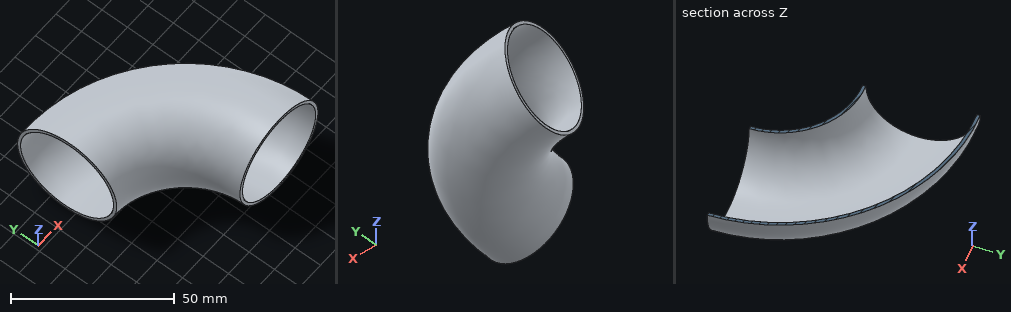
import cadquery as cq
import math

outer_diameter = 38.1
inner_diameter = 35.7
outer_bend_radius = 64.55
end_overhang = 2.0

bend_radius = outer_bend_radius - outer_diameter / 2
bend_angle = 90 + math.degrees(math.asin(end_overhang / outer_bend_radius))

result = (
    cq.Workplane("XZ")
    .center(bend_radius, 0)
    .circle(outer_diameter / 2)
    .circle(inner_diameter / 2)
    .revolve(bend_angle, (-bend_radius, 0), (-bend_radius, 1))
)